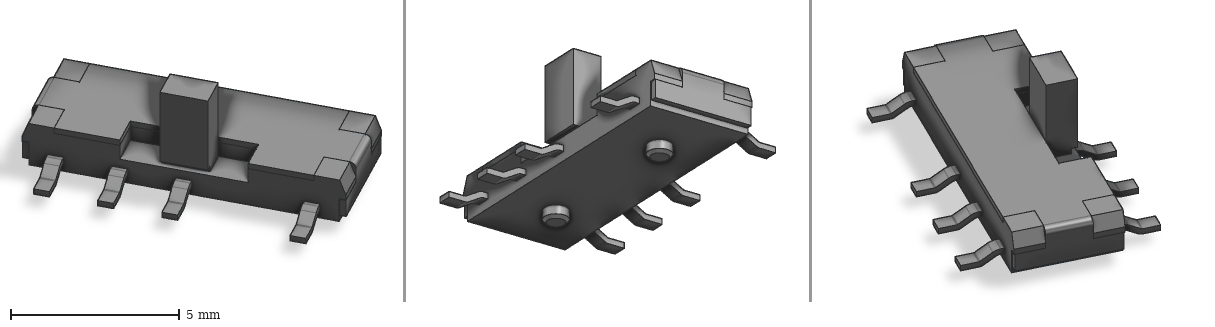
import cadquery as cq
import math

CASE_LENGTH = 10.1
CASE_DEPTH = 3.5
CASE_HEIGHT = 1.5
HALF_LENGTH = CASE_LENGTH / 2
HALF_DEPTH = CASE_DEPTH / 2

CORNER_SIZE = 1.0
CORNER_BOTTOM = 0.81
CORNER_CHAMFER_RUN = 0.19
CORNER_CHAMFER_DROP = 0.5

PLATE_THICKNESS = 0.19
FLAP_THICKNESS = 0.21
FLAP_BOTTOM = 0.2
FLAP_SIDE_INSET = 0.03
TONGUE_WIDTH = CASE_DEPTH - 2 * CORNER_SIZE
FLAP_WIDTH = CASE_DEPTH - 2 * FLAP_SIDE_INSET
PLATE_BOTTOM = CASE_HEIGHT - PLATE_THICKNESS
INNER_LENGTH = CASE_LENGTH - 2 * FLAP_THICKNESS
MIDDLE_LENGTH = CASE_LENGTH - 2 * CORNER_SIZE

SLOT_LENGTH = 4.0
SLOT_BACK_GAP = 0.03
SLOT_FLOOR = CORNER_BOTTOM

SLIDER_LENGTH = 1.5
SLIDER_DEPTH = 1.0
SLIDER_RISE = 2.0
FOOT_HEIGHT = 0.19
FOOT_SETBACK = 0.2
SLOT_DEPTH = SLIDER_DEPTH + SLOT_BACK_GAP

PEG_DIAMETER = 0.8
PEG_HEIGHT = 0.39
PEG_CHAMFER = 0.1
PEG_SPACING = 5.47

TERMINAL_PITCH = 2.0
TERMINAL_STATIONS = (-2, -1, 0, 2)
TERMINAL_WIDTH = 0.49
TERMINAL_THICKNESS = 0.19
TERMINAL_SPAN = 6.3
TERMINAL_EXIT_BOTTOM = 0.31
SHOULDER_LENGTH = 0.13
SHOULDER_INNER_RADIUS = 0.3
TOE_INNER_RADIUS = 0.06
BEND_ANGLE = math.radians(30)


def block(x_min, x_max, y_min, y_max, z_min, z_max):
    """Rectangular block between the given limits."""
    size = (x_max - x_min, y_max - y_min, z_max - z_min)
    return cq.Workplane("XY").box(*size, centered=False).translate((x_min, y_min, z_min))


def centred_block(length, depth, z_min, z_max):
    """Block centred on the Z axis."""
    return block(-length / 2, length / 2, -depth / 2, depth / 2, z_min, z_max)


def slot_space():
    """Space above the slot floor, at the middle of the front edge."""
    half_slot = SLOT_LENGTH / 2
    return block(-half_slot, half_slot, -HALF_DEPTH, SLOT_DEPTH - HALF_DEPTH, SLOT_FLOOR, CASE_HEIGHT)


def case_blank():
    """Full-depth block with its two upper end edges bevelled."""
    bevel_x = HALF_LENGTH - CORNER_CHAMFER_RUN
    bevel_z = CASE_HEIGHT - CORNER_CHAMFER_DROP
    outline = [
        (-HALF_LENGTH, 0),
        (HALF_LENGTH, 0),
        (HALF_LENGTH, bevel_z),
        (bevel_x, CASE_HEIGHT),
        (-bevel_x, CASE_HEIGHT),
        (-HALF_LENGTH, bevel_z),
    ]
    return cq.Workplane("XZ").polyline(outline).close().extrude(HALF_DEPTH, both=True)


def case_body():
    """Case, cut away where the cover sits and where the slider travels."""
    core = centred_block(INNER_LENGTH, CASE_DEPTH, 0, CORNER_BOTTOM)
    tongue_core = centred_block(INNER_LENGTH, TONGUE_WIDTH, CORNER_BOTTOM, PLATE_BOTTOM)
    middle_core = centred_block(MIDDLE_LENGTH, CASE_DEPTH, CORNER_BOTTOM, PLATE_BOTTOM)
    upper = case_blank().intersect(centred_block(CASE_LENGTH, CASE_DEPTH, CORNER_BOTTOM, CASE_HEIGHT))
    corners = (
        upper.cut(centred_block(CASE_LENGTH, TONGUE_WIDTH, CORNER_BOTTOM, CASE_HEIGHT))
        .cut(centred_block(MIDDLE_LENGTH, CASE_DEPTH, CORNER_BOTTOM, CASE_HEIGHT))
    )
    return core.union(tongue_core).union(middle_core).union(corners).cut(slot_space())


def slider():
    """Knob and the shorter foot that joins it to the slot floor."""
    half_slider = SLIDER_LENGTH / 2
    back = SLIDER_DEPTH - HALF_DEPTH
    knob_bottom = SLOT_FLOOR + FOOT_HEIGHT
    knob = block(-half_slider, half_slider, -HALF_DEPTH, back, knob_bottom, CASE_HEIGHT + SLIDER_RISE)
    foot = block(-half_slider, half_slider, FOOT_SETBACK - HALF_DEPTH, back, SLOT_FLOOR, knob_bottom)
    return knob.union(foot)


def pegs():
    """Two chamfered round pegs under the case."""
    return (
        cq.Workplane("XY")
        .pushPoints([(-PEG_SPACING / 2, 0), (PEG_SPACING / 2, 0)])
        .circle(PEG_DIAMETER / 2)
        .extrude(-PEG_HEIGHT)
        .faces("<Z")
        .chamfer(PEG_CHAMFER)
    )


def terminal():
    """One gull-wing terminal on the back side, centred on X = 0."""
    shoulder_radius = SHOULDER_INNER_RADIUS + TERMINAL_THICKNESS
    toe_radius = TOE_INNER_RADIUS + TERMINAL_THICKNESS
    exit_top = TERMINAL_EXIT_BOTTOM + TERMINAL_THICKNESS
    tip = TERMINAL_SPAN / 2

    radius_sum = shoulder_radius + TOE_INNER_RADIUS
    slope_drop = TERMINAL_EXIT_BOTTOM - radius_sum * (1 - math.cos(BEND_ANGLE))
    slope_run = slope_drop / math.tan(BEND_ANGLE)
    shoulder_y = HALF_DEPTH + SHOULDER_LENGTH
    shoulder_z = exit_top - shoulder_radius
    toe_y = shoulder_y + radius_sum * math.sin(BEND_ANGLE) + slope_run
    toe_z = toe_radius

    def on_shoulder(radius, angle):
        return (shoulder_y + radius * math.sin(angle), shoulder_z + radius * math.cos(angle))

    def on_toe(radius, angle):
        return (toe_y - radius * math.sin(angle), toe_z - radius * math.cos(angle))

    half_angle = BEND_ANGLE / 2
    profile = (
        cq.Workplane("YZ")
        .moveTo(HALF_DEPTH, exit_top)
        .lineTo(shoulder_y, exit_top)
        .threePointArc(on_shoulder(shoulder_radius, half_angle), on_shoulder(shoulder_radius, BEND_ANGLE))
        .lineTo(*on_toe(TOE_INNER_RADIUS, BEND_ANGLE))
        .threePointArc(on_toe(TOE_INNER_RADIUS, half_angle), on_toe(TOE_INNER_RADIUS, 0))
        .lineTo(tip, TERMINAL_THICKNESS)
        .lineTo(tip, 0)
        .lineTo(toe_y, 0)
        .threePointArc(on_toe(toe_radius, half_angle), on_toe(toe_radius, BEND_ANGLE))
        .lineTo(*on_shoulder(SHOULDER_INNER_RADIUS, BEND_ANGLE))
        .threePointArc(on_shoulder(SHOULDER_INNER_RADIUS, half_angle), on_shoulder(SHOULDER_INNER_RADIUS, 0))
        .lineTo(HALF_DEPTH, TERMINAL_EXIT_BOTTOM)
        .close()
    )
    return profile.extrude(TERMINAL_WIDTH / 2, both=True)


def make_housing():
    """Case with its slider, pegs and terminals, as one solid."""
    housing = case_body().union(slider()).union(pegs())
    back_terminal = terminal()
    front_terminal = back_terminal.mirror("XZ")
    for station in TERMINAL_STATIONS:
        offset = (station * TERMINAL_PITCH, 0, 0)
        housing = housing.union(back_terminal.translate(offset))
        housing = housing.union(front_terminal.translate(offset))
    return housing


def make_cover():
    """Folded sheet cover, notched at the corners and around the slot."""
    tongue = (
        centred_block(CASE_LENGTH, TONGUE_WIDTH, FLAP_BOTTOM, CASE_HEIGHT)
        .edges("|Y and >Z")
        .fillet(FLAP_THICKNESS)
    )
    plate = centred_block(MIDDLE_LENGTH, CASE_DEPTH, PLATE_BOTTOM, CASE_HEIGHT)
    wide_flaps = centred_block(CASE_LENGTH, FLAP_WIDTH, FLAP_BOTTOM, CORNER_BOTTOM)
    inside = centred_block(INNER_LENGTH, CASE_DEPTH, 0, PLATE_BOTTOM)
    return tongue.union(plate).union(wide_flaps).cut(inside).cut(slot_space())


housing = make_housing()
cover = make_cover()

result = cq.Compound.makeCompound([housing.val(), cover.val()])